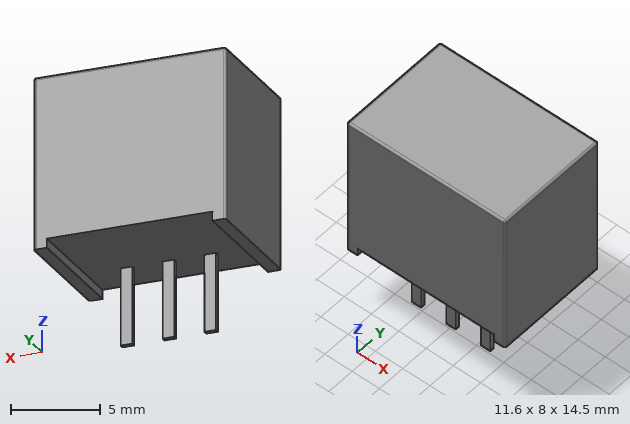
import cadquery as cq

case_length = 11.6
case_width = 8.0
total_height = 14.5

case_height = 10.4
edge_radius = 0.15
foot_length = 0.8
foot_height = 0.55

pin_count = 3
pin_pitch = 2.54
pin_width = 0.7
pin_thickness = 0.3
pin_row_y = -1.7
pin_embed = 0.15

case_bottom = total_height - case_height
underside = case_bottom + foot_height


def make_case():
    """Block with rounded top and upright edges, relieved between the feet."""
    block = (
        cq.Workplane("XY", origin=(0, 0, case_bottom))
        .rect(case_length, case_width)
        .extrude(case_height)
        .edges("|Z or >Z")
        .fillet(edge_radius)
    )
    relief = (
        cq.Workplane("XY", origin=(0, 0, case_bottom))
        .rect(case_length - 2 * foot_length, case_width)
        .extrude(foot_height)
    )
    return block.cut(relief)


def make_pins():
    """Row of pins along X, running from Z = 0 up into the case."""
    first_x = -pin_pitch * (pin_count - 1) / 2
    positions = [(first_x + i * pin_pitch, pin_row_y) for i in range(pin_count)]
    return (
        cq.Workplane("XY")
        .pushPoints(positions)
        .rect(pin_width, pin_thickness)
        .extrude(underside + pin_embed)
    )


result = make_case().union(make_pins())